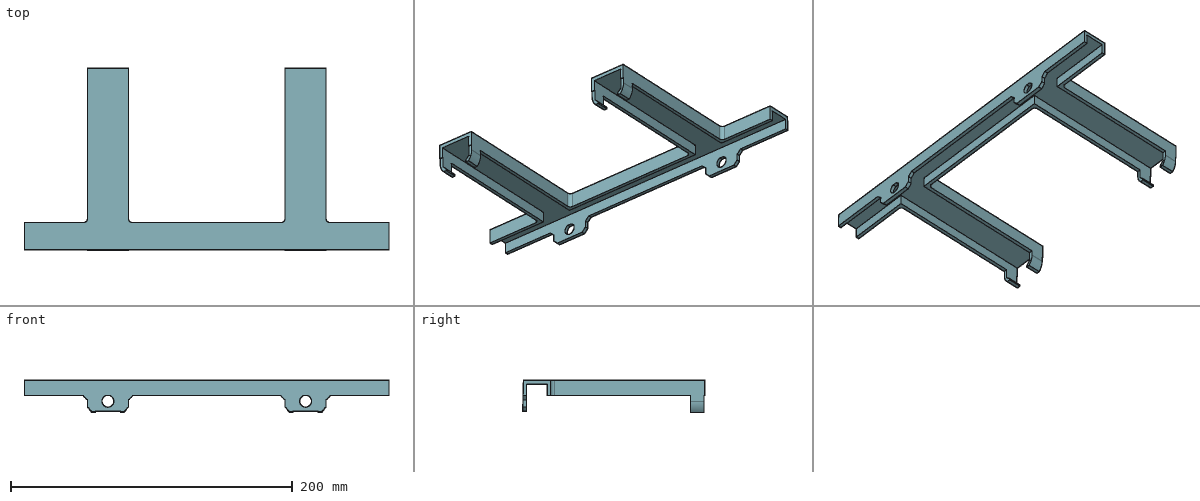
import cadquery as cq

length = 259.0
depth = 129.5
height = 23.0
wall = 2.5
top_thickness = 3.0
side_height = 11.1

front_lean = 0.5
front_wall = 2.8
bar_back = 20.0

arm_width = 29.3
arm_spacing = 140.5
arm_centers = (-arm_spacing / 2, arm_spacing / 2)
arm_corner_radius = 2.5

tab_bottom = -22.3
tab_bevel = 3.0
hole_diameter = 8.3
hole_z = -15.0

hook_length = 9.8
hook_end_inset = 0.5
hook_curve_top = -15.3
hook_reach = 5.7
hook_bottom_start = 3.0
hook_tip_height = 1.3
hook_slope_top = -18.6


def block(x_min, x_max, y_min, y_max, z_min, z_max):
    size = (x_max - x_min, y_max - y_min, z_max - z_min)
    return cq.Workplane("XY").box(*size, centered=False).translate((x_min, y_min, z_min))


def make_frame():
    """Solid outline of the crossbar and arms with rounded inside corners."""
    frame = block(-length / 2, length / 2, 0, bar_back, -side_height, 0)
    for x in arm_centers:
        frame = frame.union(block(x - arm_width / 2, x + arm_width / 2, 0, depth, -side_height, 0))
    corners = cq.selectors.BoxSelector(
        (-length / 2 + wall, bar_back - wall, -side_height),
        (length / 2 - wall, bar_back + wall, 0),
    )
    return frame.edges("|Z").edges(corners).fillet(arm_corner_radius)


def hollow_underside(frame):
    """Open channels under the crossbar and arms, meeting at the junctions."""
    frame = frame.cut(
        block(-length / 2, length / 2, front_wall, bar_back - wall, -side_height, -top_thickness)
    )
    half_channel = arm_width / 2 - wall
    for x in arm_centers:
        frame = frame.cut(
            block(x - half_channel, x + half_channel, front_wall, depth, -side_height, -top_thickness)
        )
    return frame


def make_tab(x):
    """Drilled tab with bevelled roots and lower corners."""
    half = arm_width / 2
    root = half + tab_bevel
    tab = (
        cq.Workplane("XZ")
        .moveTo(-root, -side_height)
        .lineTo(-half, -side_height - tab_bevel)
        .lineTo(-half, tab_bottom + tab_bevel)
        .lineTo(-half + tab_bevel, tab_bottom)
        .lineTo(half - tab_bevel, tab_bottom)
        .lineTo(half, tab_bottom + tab_bevel)
        .lineTo(half, -side_height - tab_bevel)
        .lineTo(root, -side_height)
        .close()
        .extrude(-front_wall)
    )
    hole = cq.Workplane("XZ").center(0, hole_z).circle(hole_diameter / 2).extrude(-front_wall)
    return tab.cut(hole).translate((x, 0, 0))


def make_hook_pair(x):
    """Two mirrored legs continuing the arm walls and curling inward."""
    outer = -arm_width / 2
    inner = outer + wall
    tip = outer + hook_reach
    hook = (
        cq.Workplane("XZ")
        .moveTo(inner, -side_height)
        .lineTo(outer, -side_height)
        .lineTo(outer, hook_curve_top)
        .tangentArcPoint((outer + hook_bottom_start, -height), relative=False)
        .lineTo(tip, -height)
        .lineTo(tip, -height + hook_tip_height)
        .lineTo(inner, hook_slope_top)
        .close()
        .extrude(-hook_length)
    )
    pair = hook.union(hook.mirror("YZ"))
    return pair.translate((x, depth - hook_end_inset - hook_length, 0))


def make_front_lean_cutter():
    """Thin wedge that leans the shared front face of crossbar and tabs."""
    return (
        cq.Workplane("YZ")
        .polyline([(0, tab_bottom), (front_lean, 0), (0, 0)])
        .close()
        .extrude(length / 2, both=True)
    )


result = hollow_underside(make_frame())
for center in arm_centers:
    result = result.union(make_tab(center)).union(make_hook_pair(center))
result = result.cut(make_front_lean_cutter())